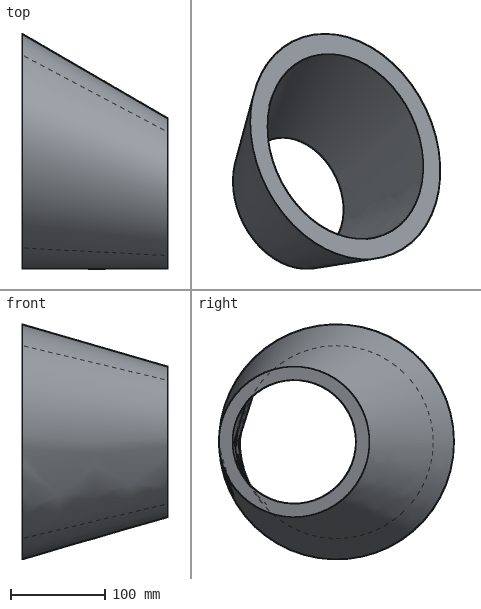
import cadquery as cq

length = 155.0
large_outer_diameter = 250.0
large_wall = 22.5
small_outer_diameter = 160.0
small_wall = 14.5

eccentricity = (large_outer_diameter - small_outer_diameter) / 2


def tapered_body(large_diameter, small_diameter):
    """Solid lofted between the circle at the large end and the offset one at the small end."""
    return (
        cq.Workplane("YZ")
        .circle(large_diameter / 2)
        .workplane(offset=length)
        .center(-eccentricity, 0)
        .circle(small_diameter / 2)
        .loft(ruled=True)
    )


outer_body = tapered_body(large_outer_diameter, small_outer_diameter)
bore = tapered_body(
    large_outer_diameter - 2 * large_wall,
    small_outer_diameter - 2 * small_wall,
)

result = outer_body.cut(bore)